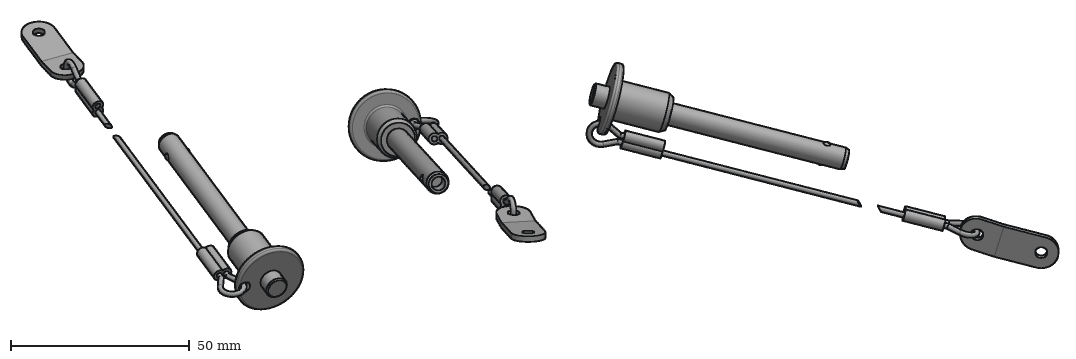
import cadquery as cq
import math

OVERALL_LENGTH = 139.2
CUT_MARGIN = 1.4

SHANK_TIP_X = 65.0
SHANK_RADIUS = 3.2
SHANK_TIP_CHAMFER_LENGTH = 1.1
SHANK_TIP_CHAMFER_DEPTH = 0.4
BORE_RADIUS = 2.0
SPINDLE_RECESS = 4.2
BUTTON_LENGTH = 4.3
BUTTON_RADIUS = SHANK_RADIUS
BUTTON_CHAMFER = 0.4
BALL_RADIUS = 1.05
BALL_SETBACK = 6.7
BALL_PROTRUSION = 0.49

BARREL_START_X = 116.8
BARREL_RADIUS = 5.7
BARREL_CHAMFER_LENGTH = 1.5
BARREL_CHAMFER_DEPTH = 0.8
BARREL_ROOT_FILLET = 0.5
FLANGE_RADIUS = 10.3
FLANGE_THICKNESS = 2.2
FLANGE_EDGE_FILLET = 0.7
EYE_RADIUS = 1.7
EYE_OFFSET = 8.1

LANYARD_Y = -12.3
CABLE_RADIUS = 0.8
STRAND_SPACING = 2.1
FERRULE_LENGTH = 11.5
FERRULE_RADIUS = 1.7
LEAD_LENGTH = 1.3
LOOP_INNER_RADIUS = 2.5
LOOP_REACH = 6.4
TAB_FERRULE_X = 33.3
PIN_FERRULE_X = 127.0
GAP_CENTRE_X = 54.9
GAP_WIDTH = 6.0

TAB_LENGTH = 28.4
TAB_WIDTH = 9.7
TAB_THICKNESS = 1.7
TAB_TOP_Z = 0.1
TAB_BEND_X = 17.3
TAB_BEND_ANGLE = 9.0
TAB_HOLE_RADIUS = 1.7

FLANGE_END_X = OVERALL_LENGTH - BUTTON_LENGTH
FLANGE_START_X = FLANGE_END_X - FLANGE_THICKNESS
LOOP_RADIUS = LOOP_INNER_RADIUS + CABLE_RADIUS
BALL_X = SHANK_TIP_X + BALL_SETBACK
BALL_Y = SHANK_RADIUS + BALL_PROTRUSION - BALL_RADIUS


def rod(start_x, end_x, radius):
    """Cylinder along the X axis."""
    return cq.Workplane("YZ").workplane(offset=start_x).circle(radius).extrude(end_x - start_x)


def make_ball(side):
    """Locking ball on the +Y (side = 1) or -Y (side = -1) side of the shank."""
    return cq.Workplane("XY").sphere(BALL_RADIUS).translate((BALL_X, side * BALL_Y, 0))


def make_shank():
    """Tube from the tip to the back of the flange, cross-drilled for the balls."""
    outline = [
        (SHANK_TIP_X, 0),
        (SHANK_TIP_X, SHANK_RADIUS - SHANK_TIP_CHAMFER_DEPTH),
        (SHANK_TIP_X + SHANK_TIP_CHAMFER_LENGTH, SHANK_RADIUS),
        (FLANGE_END_X, SHANK_RADIUS),
        (FLANGE_END_X, 0),
    ]
    shank = cq.Workplane("XY").polyline(outline).close().revolve(360, (0, 0, 0), (1, 0, 0))
    bore = rod(SHANK_TIP_X, FLANGE_END_X, BORE_RADIUS)
    reach = SHANK_RADIUS + CUT_MARGIN
    ball_hole = cq.Workplane("XZ").center(BALL_X, 0).circle(BALL_RADIUS).extrude(reach, both=True)
    return shank.cut(bore).cut(ball_hole)


def make_spindle(balls):
    """Rod filling the shank's bore, hollowed for the balls, with a push button at its back end."""
    stem = rod(SHANK_TIP_X + SPINDLE_RECESS, FLANGE_END_X, BORE_RADIUS)
    button = rod(FLANGE_END_X, OVERALL_LENGTH, BUTTON_RADIUS).faces(">X").chamfer(BUTTON_CHAMFER)
    spindle = stem.union(button)
    for ball in balls:
        spindle = spindle.cut(ball)
    return spindle


def make_handle():
    """Barrel with a round flange that has an eye for the lanyard loop."""
    root_bulge = BARREL_ROOT_FILLET * (1 - math.sqrt(0.5))
    barrel = (
        cq.Workplane("XY")
        .moveTo(BARREL_START_X, 0)
        .lineTo(BARREL_START_X, BARREL_RADIUS - BARREL_CHAMFER_DEPTH)
        .lineTo(BARREL_START_X + BARREL_CHAMFER_LENGTH, BARREL_RADIUS)
        .lineTo(FLANGE_START_X - BARREL_ROOT_FILLET, BARREL_RADIUS)
        .threePointArc(
            (FLANGE_START_X - root_bulge, BARREL_RADIUS + root_bulge),
            (FLANGE_START_X, BARREL_RADIUS + BARREL_ROOT_FILLET),
        )
        .lineTo(FLANGE_START_X, 0)
        .close()
        .revolve(360, (0, 0, 0), (1, 0, 0))
    )
    flange = rod(FLANGE_START_X, FLANGE_END_X, FLANGE_RADIUS).edges().fillet(FLANGE_EDGE_FILLET)
    eye = rod(FLANGE_START_X, FLANGE_END_X, EYE_RADIUS).translate((0, -EYE_OFFSET, 0))
    shank_hole = rod(BARREL_START_X, FLANGE_END_X, SHANK_RADIUS)
    return barrel.union(flange).cut(eye).cut(shank_hole)


def make_tab():
    """Flat strip with round ends, a hole near each end, and a slight upward bend."""
    rise = (TAB_LENGTH - TAB_BEND_X) * math.tan(math.radians(TAB_BEND_ANGLE))
    top = [(0, TAB_TOP_Z), (TAB_BEND_X, TAB_TOP_Z), (TAB_LENGTH, TAB_TOP_Z + rise)]
    bottom = [(x, z - TAB_THICKNESS) for x, z in reversed(top)]
    strip = cq.Workplane("XZ").polyline(top + bottom).close().extrude(TAB_WIDTH / 2, both=True)
    end_radius = TAB_WIDTH / 2
    reach = TAB_THICKNESS + rise + CUT_MARGIN
    plan = cq.Workplane("XY").slot2D(TAB_LENGTH, TAB_WIDTH).extrude(reach, both=True)
    plan = plan.translate((TAB_LENGTH / 2, 0, 0))
    hole_centres = [(end_radius, 0), (TAB_LENGTH - end_radius, 0)]
    holes = cq.Workplane("XY").pushPoints(hole_centres).circle(TAB_HOLE_RADIUS).extrude(reach, both=True)
    return strip.intersect(plan).cut(holes).translate((0, LANYARD_Y, 0))


def make_cable(main_length):
    """Cable that runs through its ferrule, around a teardrop loop and back into the ferrule."""
    half_spacing = STRAND_SPACING / 2
    to_centre = LOOP_REACH - LEAD_LENGTH
    tangent_angle = math.atan2(half_spacing, to_centre) + math.acos(
        LOOP_RADIUS / math.hypot(to_centre, half_spacing)
    )
    tangent_x = LOOP_REACH - LOOP_RADIUS * math.cos(tangent_angle)
    tangent_offset = LOOP_RADIUS * math.sin(tangent_angle)
    path = (
        cq.Workplane("XY")
        .moveTo(-main_length, 0)
        .lineTo(LEAD_LENGTH, 0)
        .lineTo(tangent_x, half_spacing - tangent_offset)
        .threePointArc((LOOP_REACH + LOOP_RADIUS, half_spacing), (tangent_x, half_spacing + tangent_offset))
        .lineTo(LEAD_LENGTH, STRAND_SPACING)
        .lineTo(-FERRULE_LENGTH, STRAND_SPACING)
    )
    section = cq.Workplane("YZ", origin=(-main_length, 0, 0)).circle(CABLE_RADIUS)
    return section.sweep(path, transition="right")


def make_ferrule():
    """Crimp sleeve of two overlapping round lobes, each with a through hole for its strand."""
    lobes = [rod(-FERRULE_LENGTH, 0, FERRULE_RADIUS).translate((0, y, 0)) for y in (0, STRAND_SPACING)]
    holes = [rod(-FERRULE_LENGTH, 0, CABLE_RADIUS).translate((0, y, 0)) for y in (0, STRAND_SPACING)]
    ferrule = lobes[0].union(lobes[1])
    for hole in holes:
        ferrule = ferrule.cut(hole)
    return ferrule


def place_at_tab(body):
    """Loop towards -X, lying in a vertical plane with the returning strand above."""
    turned = body.rotate((0, 0, 0), (0, 0, 1), 180).rotate((0, 0, 0), (1, 0, 0), -90)
    return turned.translate((TAB_FERRULE_X, LANYARD_Y, 0))


def place_at_pin(body):
    """Loop towards +X, lying flat with the returning strand next to the barrel."""
    return body.translate((PIN_FERRULE_X, LANYARD_Y, 0))


def make_cable_gap():
    """Slanted slab that parts the two cables at 45 degrees."""
    half_width = GAP_WIDTH / 2
    reach = CABLE_RADIUS + CUT_MARGIN
    corners = [
        (-half_width - reach, -reach),
        (half_width - reach, -reach),
        (half_width + reach, reach),
        (-half_width + reach, reach),
    ]
    slab = cq.Workplane("XY").polyline(corners).close().extrude(reach, both=True)
    return slab.translate((GAP_CENTRE_X, LANYARD_Y, 0))


balls = [make_ball(side) for side in (1, -1)]
shank = make_shank()
spindle = make_spindle(balls)
handle = make_handle()
tab = make_tab()

cable_gap = make_cable_gap()
tab_ferrule = place_at_tab(make_ferrule())
pin_ferrule = place_at_pin(make_ferrule())
tab_cable = place_at_tab(make_cable(GAP_CENTRE_X - TAB_FERRULE_X)).cut(cable_gap)
pin_cable = place_at_pin(make_cable(PIN_FERRULE_X - GAP_CENTRE_X)).cut(cable_gap)

result = cq.Compound.makeCompound(
    [
        shank.val(),
        spindle.val(),
        handle.val(),
        *[ball.val() for ball in balls],
        tab.val(),
        tab_ferrule.val(),
        pin_ferrule.val(),
        tab_cable.val(),
        pin_cable.val(),
    ]
)